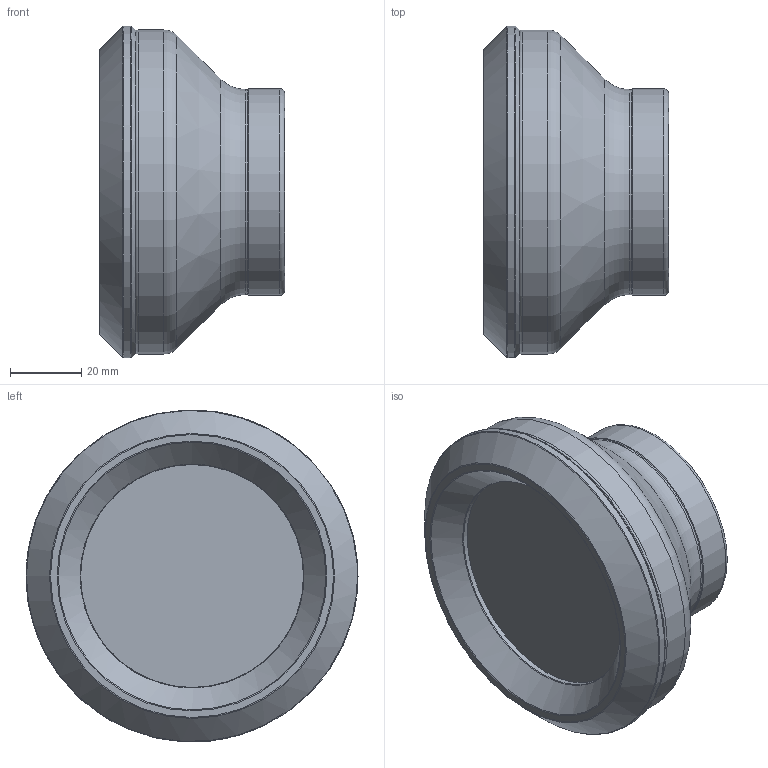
import cadquery as cq
import math


total_length = 52.0
ring_radius = 93.25 / 2
shell_radius = 91.0 / 2

rim_outer_radius = 39.9
rim_inner_radius = 37.7
mouth_radius = 31.3
band_start = ring_radius - rim_outer_radius
mouth_cone_depth = 6.7
ring_edge_fillet = 0.4

mouth_floor = 8.2
front_round = 2.0
front_round_end = 10.9
shoulder_start = 18.1
shoulder_end = 21.75
waist_start = 34.1
waist_end = 41.1
waist_radius = 57.6 / 2
spigot_radius = 58.0 / 2
spigot_start = 41.9
spigot_step = spigot_radius - waist_radius
end_fillet = 1.3
bend_angle = math.radians(45)

joint_x = 10.2
joint_angle = math.asin((front_round_end - joint_x) / front_round)
joint_radius = shell_radius - front_round * (1 - math.cos(joint_angle))
band_end = joint_x - (ring_radius - joint_radius)


def turn_about_x(profile):
    return profile.close().revolve(360, (0, 0, 0), (1, 0, 0))


def bend_point(tangent_x, tangent_radius, bend_radius, angle, along, outward):
    """Point on an arc that leaves a cylinder tangentially at tangent_x.

    along is +1 or -1 for the direction along X, outward is +1 or -1 for a growing or shrinking radius.
    """
    x = tangent_x + along * bend_radius * math.sin(angle)
    radius = tangent_radius + outward * bend_radius * (1 - math.cos(angle))
    return x, radius


def make_ring():
    profile = (
        cq.Workplane("XY")
        .moveTo(0, rim_inner_radius)
        .lineTo(0, rim_outer_radius)
        .lineTo(band_start, ring_radius)
        .lineTo(band_end, ring_radius)
        .lineTo(joint_x, joint_radius)
        .lineTo(joint_x, mouth_radius)
        .lineTo(mouth_cone_depth, mouth_radius)
    )
    front_edges = cq.selectors.BoxSelector(
        (-1, -ring_radius, -ring_radius),
        ((band_end + joint_x) / 2, ring_radius, ring_radius),
    )
    return turn_about_x(profile).edges("%CIRCLE").edges(front_edges).fillet(ring_edge_fillet)


def make_housing():
    front_edge = (front_round_end, shell_radius, front_round)
    shoulder_bend = (shoulder_end - shoulder_start) / math.sin(bend_angle)
    shoulder = (shoulder_start, shell_radius, shoulder_bend)
    waist_bend = (waist_end - waist_start) / math.sin(bend_angle)
    waist = (waist_end, waist_radius, waist_bend)

    profile = (
        cq.Workplane("XY")
        .moveTo(mouth_floor, 0)
        .lineTo(mouth_floor, mouth_radius)
        .lineTo(joint_x, mouth_radius)
        .lineTo(joint_x, joint_radius)
        .threePointArc(
            bend_point(*front_edge, joint_angle / 2, -1, -1),
            (front_round_end, shell_radius),
        )
        .lineTo(shoulder_start, shell_radius)
        .threePointArc(
            bend_point(*shoulder, bend_angle / 2, 1, -1),
            bend_point(*shoulder, bend_angle, 1, -1),
        )
        .lineTo(*bend_point(*waist, bend_angle, -1, 1))
        .threePointArc(
            bend_point(*waist, bend_angle / 2, -1, 1),
            (waist_end, waist_radius),
        )
        .lineTo(spigot_start - spigot_step, waist_radius)
        .lineTo(spigot_start, spigot_radius)
        .lineTo(total_length, spigot_radius)
        .lineTo(total_length, 0)
    )
    return turn_about_x(profile).faces(">X").edges().fillet(end_fillet)


ring = make_ring()
housing = make_housing()
result = cq.Compound.makeCompound([ring.val(), housing.val()])